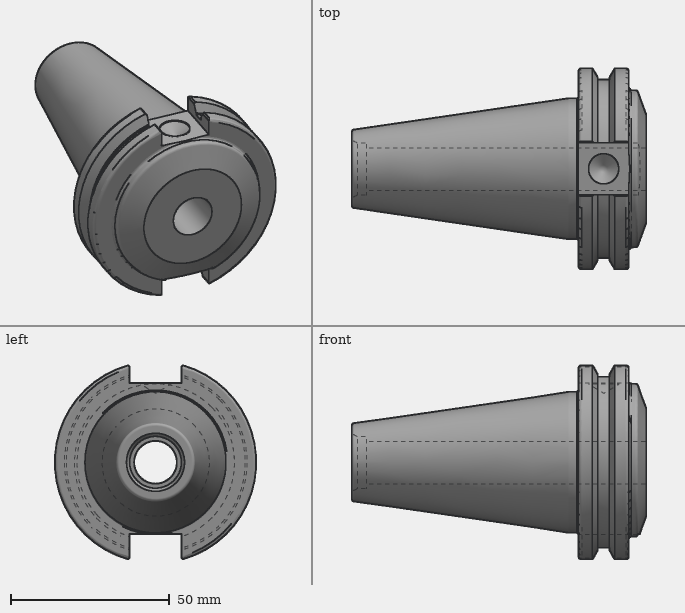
import cadquery as cq
import math


GAUGE_DIAMETER = 44.45
TAPER_RATIO = 7 / 24
SHANK_LENGTH = 68.25
SHANK_END_ROUND = 1.0

FLANGE_DIAMETER = 63.5
FLANGE_START = 3.18
FLANGE_END = 19.05
FLANGE_FRONT_ROUND = 1.0
FLANGE_BACK_ROUND = 1.0
NECK_FILLET = 0.5

GROOVE_CENTER = 11.11
GROOVE_FLOOR_DIAMETER = 56.36
GROOVE_FLOOR_WIDTH = 3.56
GROOVE_MOUTH_WIDTH = 7.0
GROOVE_WALL_SLOPE = 30

NOSE_DIAMETER = 49.6
NOSE_FILLET = 0.8
NOSE_END = 24.6
NOSE_FACE_DIAMETER = 33.8
NOSE_CONE_SLOPE = 20
NOSE_EDGE_ROUND = 1.0

SLOT_WIDTH = 16.3
SLOT_EDGE_CHAMFER = 0.5
TOP_SLOT_FLOOR = 25.0
BOTTOM_SLOT_FLOOR = 22.6

DIMPLE_DIAMETER = 9.53
DIMPLE_WALL_DEPTH = 0.35
DIMPLE_POINT_ANGLE = 118

THROUGH_DIAMETER = 13.39
COUNTERBORE_DIAMETER = 16.3
COUNTERBORE_DEPTH = 4.7
MOUTH_DIAMETER = 18.3
MOUTH_DEPTH = 1.8

SHANK_START = -SHANK_LENGTH
SHANK_END_DIAMETER = GAUGE_DIAMETER - SHANK_LENGTH * TAPER_RATIO


def revolve_about_axis(points):
    """Turn an (X, radius) outline about the part axis."""
    return cq.Workplane("XY").polyline(points).close().revolve(360, (0, 0, 0), (1, 0, 0))


def round_rim(body, x, diameter, radius):
    """Round the circular edge of the given diameter at X = x."""
    reach = diameter / 2
    margin = 0.01
    rim = cq.selectors.BoxSelector(
        (x - margin, -reach - margin, -reach - margin),
        (x + margin, reach + margin, reach + margin),
        boundingbox=True,
    )
    largest = cq.selectors.RadiusNthSelector(-1)
    return body.edges(rim).edges(largest).fillet(radius)


def make_body():
    shank_radius = GAUGE_DIAMETER / 2
    flange_radius = FLANGE_DIAMETER / 2
    nose_radius = NOSE_DIAMETER / 2
    nose_face_radius = NOSE_FACE_DIAMETER / 2
    cone_length = (nose_radius - nose_face_radius) * math.tan(math.radians(NOSE_CONE_SLOPE))
    cone_start = NOSE_END - cone_length
    body = revolve_about_axis([
        (SHANK_START, 0),
        (SHANK_START, SHANK_END_DIAMETER / 2),
        (0, shank_radius),
        (FLANGE_START, shank_radius),
        (FLANGE_START, flange_radius),
        (FLANGE_END, flange_radius),
        (FLANGE_END, nose_radius),
        (cone_start, nose_radius),
        (NOSE_END, nose_face_radius),
        (NOSE_END, 0),
    ])
    body = round_rim(body, SHANK_START, SHANK_END_DIAMETER, SHANK_END_ROUND)
    body = round_rim(body, FLANGE_START, GAUGE_DIAMETER, NECK_FILLET)
    body = round_rim(body, FLANGE_START, FLANGE_DIAMETER, FLANGE_FRONT_ROUND)
    body = round_rim(body, FLANGE_END, FLANGE_DIAMETER, FLANGE_BACK_ROUND)
    body = round_rim(body, FLANGE_END, NOSE_DIAMETER, NOSE_FILLET)
    return round_rim(body, cone_start, NOSE_DIAMETER, NOSE_EDGE_ROUND)


def make_groove():
    flange_radius = FLANGE_DIAMETER / 2
    floor_radius = GROOVE_FLOOR_DIAMETER / 2
    half_mouth = GROOVE_MOUTH_WIDTH / 2
    half_floor = GROOVE_FLOOR_WIDTH / 2
    slope_height = (half_mouth - half_floor) / math.tan(math.radians(GROOVE_WALL_SLOPE))
    slope_end_radius = flange_radius - slope_height
    return revolve_about_axis([
        (GROOVE_CENTER - half_floor, floor_radius),
        (GROOVE_CENTER - half_floor, slope_end_radius),
        (GROOVE_CENTER - half_mouth, flange_radius),
        (GROOVE_CENTER + half_mouth, flange_radius),
        (GROOVE_CENTER + half_floor, slope_end_radius),
        (GROOVE_CENTER + half_floor, floor_radius),
    ])


def make_slot(floor_distance, side):
    """Drive slot at side * Z, running from the gauge plane to the nose face, with chamfered outer edges."""
    half_width = SLOT_WIDTH / 2
    half_mouth = half_width + SLOT_EDGE_CHAMFER
    flange_radius = FLANGE_DIAMETER / 2
    mouth_edge_height = math.sqrt(flange_radius**2 - half_mouth**2)
    wall_top = mouth_edge_height - SLOT_EDGE_CHAMFER
    flare = flange_radius - wall_top
    outline = [
        (-half_width, side * floor_distance),
        (-half_width, side * wall_top),
        (-half_width - flare, side * flange_radius),
        (half_width + flare, side * flange_radius),
        (half_width, side * wall_top),
        (half_width, side * floor_distance),
    ]
    return cq.Workplane("YZ").polyline(outline).close().extrude(NOSE_END)


def make_dimple():
    radius = DIMPLE_DIAMETER / 2
    cone_base = TOP_SLOT_FLOOR - DIMPLE_WALL_DEPTH
    apex = cone_base - radius / math.tan(math.radians(DIMPLE_POINT_ANGLE / 2))
    return (
        cq.Workplane("XZ")
        .polyline([(0, apex), (radius, cone_base), (radius, TOP_SLOT_FLOOR), (0, TOP_SLOT_FLOOR)])
        .close()
        .revolve(360, (0, 0, 0), (0, 1, 0))
        .translate((GROOVE_CENTER, 0, 0))
    )


def make_bore():
    through_radius = THROUGH_DIAMETER / 2
    counterbore_radius = COUNTERBORE_DIAMETER / 2
    return revolve_about_axis([
        (SHANK_START, 0),
        (SHANK_START, MOUTH_DIAMETER / 2),
        (SHANK_START + MOUTH_DEPTH, counterbore_radius),
        (SHANK_START + COUNTERBORE_DEPTH, counterbore_radius),
        (SHANK_START + COUNTERBORE_DEPTH, through_radius),
        (NOSE_END, through_radius),
        (NOSE_END, 0),
    ])


result = (
    make_body()
    .cut(make_groove())
    .cut(make_slot(TOP_SLOT_FLOOR, 1))
    .cut(make_slot(BOTTOM_SLOT_FLOOR, -1))
    .cut(make_dimple())
    .cut(make_bore())
)